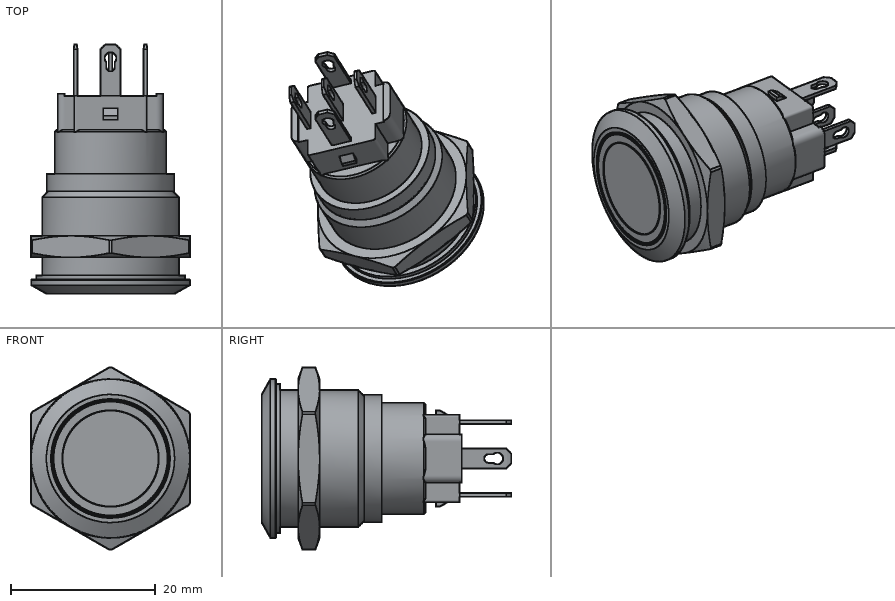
import cadquery as cq
import math

TOTAL_LENGTH = 34.5

HEAD_RADIUS = 11.0
FACE_RADIUS = 8.85
HEAD_BEVEL_LENGTH = 1.2
HEAD_LENGTH = 2.0
HEAD_BACK_CHAMFER = 0.1

BUTTON_GAP_OUTER_RADIUS = 8.25
BUTTON_GAP_INNER_RADIUS = 7.85
BUTTON_GAP_CHAMFER = 0.1
BUTTON_GAP_DEPTH = 0.2
LENS_GAP_OUTER_RADIUS = 6.7
LENS_GAP_WIDTH = 0.07
LENS_GAP_DEPTH = 0.1

GASKET_RADIUS = 10.3
GASKET_END = 2.55
BODY_RADIUS = 9.5
BODY_END = 14.15
COLLAR_RADIUS = 8.83
COLLAR_END = 16.6
BODY_BACK_CHAMFER = 0.83
BARREL_RADIUS = 7.73
BARREL_END = 22.65
BARREL_BACK_CHAMFER = 0.28

NUT_ACROSS_FLATS = 2 * HEAD_RADIUS
NUT_CORNER_RADIUS = 12.6
NUT_START = 5.05
NUT_THICKNESS = 2.95
NUT_BEVEL_LENGTH = 0.6

BLOCK_HALF_WIDTH = 5.05
BLOCK_HALF_HEIGHT = 6.07
BLOCK_END = 27.35
BLOCK_CORNER_RADIUS = 0.35
WING_HALF_WIDTH = 7.3
WING_HALF_HEIGHT = 3.35
WING_CORNER_RADIUS = 0.95
WING_RIM_END = 27.67

CATCH_WIDTH = 2.05
CATCH_HEIGHT = 0.6
CATCH_START = 24.08
CATCH_FLAT_LENGTH = 0.55
CATCH_END = 25.65

TERMINAL_WIDTH = 2.83
TERMINAL_THICKNESS = 0.55
TERMINAL_TIP_CHAMFER = 0.72
UPRIGHT_TERMINAL_OFFSET = 4.83
FLAT_TERMINAL_OFFSET = 5.05
TIP_TAPER_LENGTH = 0.62
TIP_TAPER_DEPTH = 0.1
EYE_RADIUS = 0.8
EYE_FROM_TIP = 1.93
EYE_SLOT_WIDTH = 1.17
EYE_SLOT_END_FROM_TIP = 3.73

OVERLAP = 0.35


def revolve_about_y(points):
    """Revolve (radius, Y) points about the Y axis."""
    return cq.Workplane("XY").polyline(points).close().revolve(360, (0, 0), (0, 1))


def prism_along_y(section, start, end):
    """Box centred on the Y axis with a (width X, height Z) section, from Y start to Y end."""
    width, height = section
    return cq.Workplane("XY").box(width, end - start, height).translate((0, (start + end) / 2, 0))


def make_body():
    bevel_end_radius = BODY_RADIUS - BODY_BACK_CHAMFER
    body = revolve_about_y([
        (0, 0),
        (FACE_RADIUS, 0),
        (HEAD_RADIUS, HEAD_BEVEL_LENGTH),
        (HEAD_RADIUS, HEAD_LENGTH - HEAD_BACK_CHAMFER),
        (HEAD_RADIUS - HEAD_BACK_CHAMFER, HEAD_LENGTH),
        (GASKET_RADIUS, HEAD_LENGTH),
        (GASKET_RADIUS, GASKET_END),
        (BODY_RADIUS, GASKET_END),
        (BODY_RADIUS, BODY_END - BODY_BACK_CHAMFER),
        (bevel_end_radius, BODY_END),
        (COLLAR_RADIUS, BODY_END),
        (COLLAR_RADIUS, COLLAR_END),
        (BARREL_RADIUS, COLLAR_END),
        (BARREL_RADIUS, BARREL_END - BARREL_BACK_CHAMFER),
        (BARREL_RADIUS - BARREL_BACK_CHAMFER, BARREL_END),
        (0, BARREL_END),
    ])
    button_gap = revolve_about_y([
        (BUTTON_GAP_INNER_RADIUS, 0),
        (BUTTON_GAP_INNER_RADIUS + BUTTON_GAP_CHAMFER, BUTTON_GAP_CHAMFER),
        (BUTTON_GAP_INNER_RADIUS + BUTTON_GAP_CHAMFER, BUTTON_GAP_DEPTH),
        (BUTTON_GAP_OUTER_RADIUS - BUTTON_GAP_CHAMFER, BUTTON_GAP_DEPTH),
        (BUTTON_GAP_OUTER_RADIUS - BUTTON_GAP_CHAMFER, BUTTON_GAP_CHAMFER),
        (BUTTON_GAP_OUTER_RADIUS, 0),
    ])
    lens_radius = LENS_GAP_OUTER_RADIUS - LENS_GAP_WIDTH
    lens_gap = revolve_about_y([
        (lens_radius, 0),
        (LENS_GAP_OUTER_RADIUS, 0),
        (LENS_GAP_OUTER_RADIUS, LENS_GAP_DEPTH),
        (lens_radius, LENS_GAP_DEPTH),
    ])
    return body.cut(button_gap).cut(lens_gap)


def make_nut():
    nut_end = NUT_START + NUT_THICKNESS
    bevel_radius = NUT_ACROSS_FLATS / 2
    hexagon = (
        cq.Workplane("XZ", origin=(0, NUT_START, 0))
        .transformed(rotate=(0, 0, 30))
        .polygon(6, NUT_ACROSS_FLATS / math.cos(math.pi / 6))
        .extrude(-NUT_THICKNESS)
    )
    corner_bevel = revolve_about_y([
        (0, NUT_START),
        (bevel_radius, NUT_START),
        (NUT_CORNER_RADIUS, NUT_START + NUT_BEVEL_LENGTH),
        (NUT_CORNER_RADIUS, nut_end - NUT_BEVEL_LENGTH),
        (bevel_radius, nut_end),
        (0, nut_end),
    ])
    return hexagon.intersect(corner_bevel)


def make_terminal_block():
    start = BARREL_END - OVERLAP
    centre = prism_along_y((2 * BLOCK_HALF_WIDTH, 2 * BLOCK_HALF_HEIGHT), start, BLOCK_END)
    centre = centre.edges("|Y").fillet(BLOCK_CORNER_RADIUS)
    wings = prism_along_y((2 * WING_HALF_WIDTH, 2 * WING_HALF_HEIGHT), start, WING_RIM_END)
    wings = wings.edges("|Y").fillet(WING_CORNER_RADIUS)
    rim_inner_half_width = WING_HALF_WIDTH - WING_CORNER_RADIUS
    between_rims = prism_along_y(
        (2 * rim_inner_half_width, 2 * WING_HALF_HEIGHT), BLOCK_END, WING_RIM_END
    )
    return centre.union(wings.cut(between_rims))


def make_upper_catch():
    top = BLOCK_HALF_HEIGHT + CATCH_HEIGHT
    root = BLOCK_HALF_HEIGHT - OVERLAP
    return (
        cq.Workplane("YZ")
        .moveTo(CATCH_START, root)
        .lineTo(CATCH_START, top)
        .lineTo(CATCH_START + CATCH_FLAT_LENGTH, top)
        .lineTo(CATCH_END, BLOCK_HALF_HEIGHT)
        .lineTo(CATCH_END, root)
        .close()
        .extrude(CATCH_WIDTH / 2, both=True)
    )


def make_flat_terminal():
    """Terminal lying in the XY plane, centred on the Y axis."""
    start = BLOCK_END - OVERLAP
    blade = prism_along_y((TERMINAL_WIDTH, TERMINAL_THICKNESS), start, TOTAL_LENGTH)
    blade = blade.faces(">Y").edges("|Z").chamfer(TERMINAL_TIP_CHAMFER)
    eye_y = TOTAL_LENGTH - EYE_FROM_TIP
    slot_end_y = TOTAL_LENGTH - EYE_SLOT_END_FROM_TIP + EYE_SLOT_WIDTH / 2
    eye = cq.Workplane("XY").center(0, eye_y).circle(EYE_RADIUS)
    eye = eye.extrude(TERMINAL_THICKNESS, both=True)
    slot = (
        cq.Workplane("XY")
        .center(0, (eye_y + slot_end_y) / 2)
        .slot2D(eye_y - slot_end_y + EYE_SLOT_WIDTH, EYE_SLOT_WIDTH, 90)
        .extrude(TERMINAL_THICKNESS, both=True)
    )
    return blade.cut(eye).cut(slot)


def make_upright_terminal():
    """Terminal standing in the YZ plane, with its tip thinned on both faces."""
    half_thickness = TERMINAL_THICKNESS / 2
    half_tip = half_thickness - TIP_TAPER_DEPTH
    start = BLOCK_END - OVERLAP
    taper_start = TOTAL_LENGTH - TIP_TAPER_LENGTH
    tapered_side = (
        cq.Workplane("XY")
        .polyline([
            (-half_thickness, start),
            (half_thickness, start),
            (half_thickness, taper_start),
            (half_tip, TOTAL_LENGTH),
            (-half_tip, TOTAL_LENGTH),
            (-half_thickness, taper_start),
        ])
        .close()
        .extrude(TERMINAL_WIDTH, both=True)
    )
    upright = make_flat_terminal().rotate((0, 0, 0), (0, 1, 0), 90)
    return upright.intersect(tapered_side)


result = make_body().union(make_nut()).union(make_terminal_block())

upper_catch = make_upper_catch()
result = result.union(upper_catch).union(upper_catch.mirror("XY"))

flat_terminal = make_flat_terminal()
upright_terminal = make_upright_terminal()
for height in (-FLAT_TERMINAL_OFFSET, FLAT_TERMINAL_OFFSET):
    result = result.union(flat_terminal.translate((0, 0, height)))
for across in (-UPRIGHT_TERMINAL_OFFSET, 0, UPRIGHT_TERMINAL_OFFSET):
    result = result.union(upright_terminal.translate((across, 0, 0)))